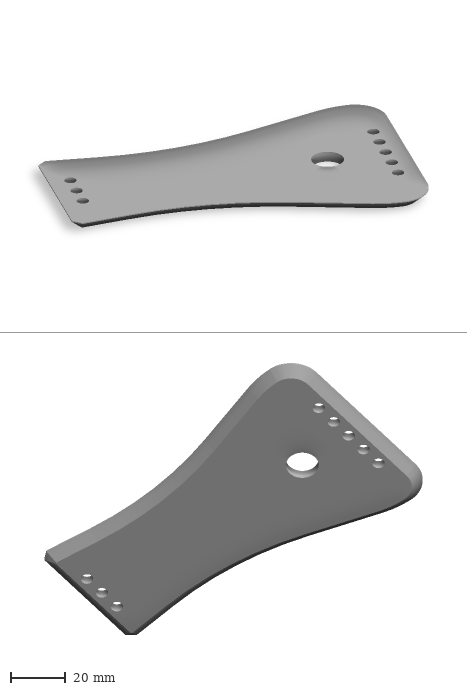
import cadquery as cq
import math

length = 133.0
head_width = 80.3
thickness = 4.0

lip_height = 0.4
bevel_inset = 4.0

corner_radius = 12.0
waist_width = 45.8
waist_y = -28.5
waist_radius = 143.6
flank_angle = math.radians(17.5)
foot_angle = math.radians(6.2)
foot_corner_height = 3.2
foot_end_width = 46.3

small_hole_diameter = 4.5
hole_pitch = 8.5
hole_row_y = 58.4
head_hole_count = 5
foot_hole_count = 3
large_hole_diameter = 12.0
large_hole_y = 36.5


def waist_point(angle):
    """Point of the waist arc where the side leans by the given angle, positive towards the head."""
    x = waist_width / 2 + waist_radius * (1 - math.cos(angle))
    y = waist_y + waist_radius * math.sin(angle)
    return x, y


def shoulder_point(radius, angle):
    """Point of the shoulder arc where the side leans by the given angle."""
    x = head_width / 2 - radius * (1 - math.cos(angle))
    y = length / 2 - corner_radius - radius * math.sin(angle)
    return x, y


def shoulder_radius():
    """Radius of the arc tangent to both the head corner and the straight flank."""
    flank_x, flank_y = waist_point(flank_angle)
    corner_x, corner_y = shoulder_point(0, 0)
    gap = (flank_x - corner_x) * math.cos(flank_angle) + (corner_y - flank_y) * math.sin(flank_angle)
    return gap / (1 - math.cos(flank_angle))


def mirrored(point):
    return -point[0], point[1]


def plate_outline(workplane):
    """Closed outline, drawn down the right side and back up the left side."""
    radius = shoulder_radius()
    diagonal = corner_radius * math.sqrt(0.5)
    corner_start = (head_width / 2 - corner_radius, length / 2)
    corner_middle = (corner_start[0] + diagonal, length / 2 - corner_radius + diagonal)
    corner_end = shoulder_point(radius, 0)
    shoulder_middle = shoulder_point(radius, flank_angle / 2)
    flank_top = shoulder_point(radius, flank_angle)
    flank_bottom = waist_point(flank_angle)
    waist_middle = waist_point(0)
    foot_top = waist_point(-foot_angle)
    foot_bottom_y = -length / 2 + foot_corner_height
    foot_bottom = (foot_top[0] + (foot_top[1] - foot_bottom_y) * math.tan(foot_angle), foot_bottom_y)
    foot_end = (foot_end_width / 2, -length / 2)

    return (
        workplane.moveTo(*corner_start)
        .threePointArc(corner_middle, corner_end)
        .threePointArc(shoulder_middle, flank_top)
        .lineTo(*flank_bottom)
        .threePointArc(waist_middle, foot_top)
        .lineTo(*foot_bottom)
        .lineTo(*foot_end)
        .lineTo(*mirrored(foot_end))
        .lineTo(*mirrored(foot_bottom))
        .lineTo(*mirrored(foot_top))
        .threePointArc(mirrored(waist_middle), mirrored(flank_bottom))
        .lineTo(*mirrored(flank_top))
        .threePointArc(mirrored(shoulder_middle), mirrored(corner_end))
        .threePointArc(mirrored(corner_middle), mirrored(corner_start))
        .close()
    )


def plate():
    """Lip with the bevelled body hanging below it."""
    bevel_height = thickness - lip_height
    bevel_angle = math.degrees(math.atan2(bevel_inset, bevel_height))
    lip_plane = cq.Workplane("XY").workplane(offset=bevel_height)
    lip = plate_outline(lip_plane).extrude(lip_height)
    body = plate_outline(lip_plane).extrude(-bevel_height, taper=bevel_angle)
    return lip.union(body)


def holes(points, diameter):
    return cq.Workplane("XY").pushPoints(points).circle(diameter / 2).extrude(thickness)


def hole_row(count, y):
    """Row of evenly spaced small holes centred on the plate."""
    points = [((i - (count - 1) / 2) * hole_pitch, y) for i in range(count)]
    return holes(points, small_hole_diameter)


result = (
    plate()
    .cut(hole_row(head_hole_count, hole_row_y))
    .cut(hole_row(foot_hole_count, -hole_row_y))
    .cut(holes([(0, large_hole_y)], large_hole_diameter))
)